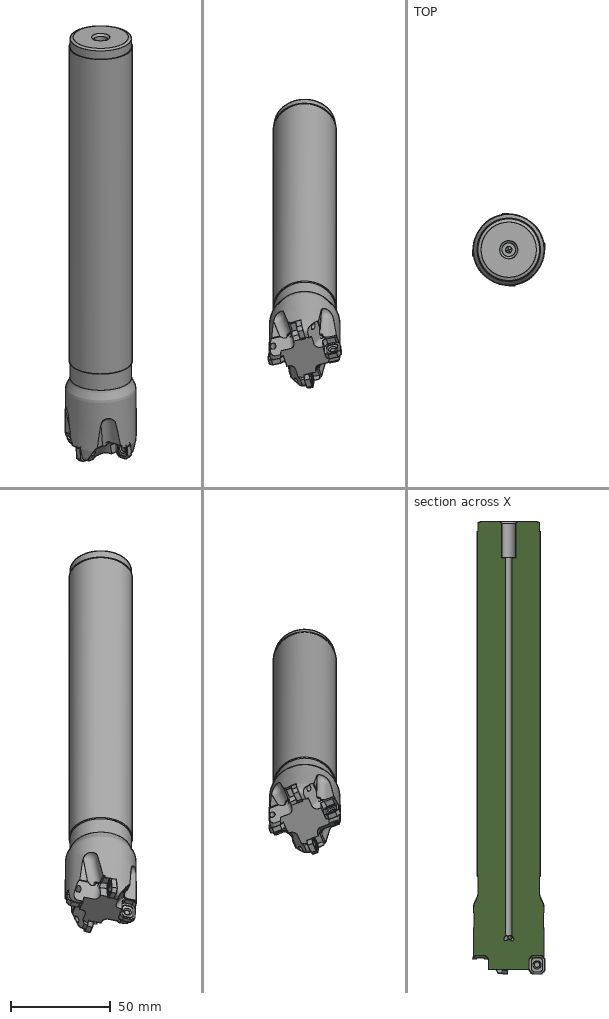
import cadquery as cq
import math

total_length = 227.5
tooth_count = 4
tip_radius = 18.2

shank_radius = 16.0
shank_bottom_z = 49.3
end_land_radius = 15.5
end_land_bottom_z = 222.2
top_chamfer_width = 1.5
top_chamfer_height = 0.7

neck_radius = 15.5
neck_step = shank_radius - neck_radius
neck_bottom_z = 40.0
shoulder_radius = 16.0
shoulder_z = 38.7
collar_radius = 17.5
collar_top_z = 35.2
head_radius = 17.7
head_top_z = 33.9
tooth_radius = 18.0
relief_top_z = 7.3
relief_radius = 17.5
relief_bottom_z = 3.9
tooth_bottom_radius = 14.5
tooth_bottom_z = 0.5

bore_mouth_radius = 4.5
bore_radius = 3.5
bore_depth = 18.2
coolant_radius = 1.5
coolant_bottom_z = 18.2
outlet_radius = 1.1
outlet_exit = (-5.5, -10.0, 9.0)
face_recess_radius = 12.3
face_recess_top_z = 2.3

gullet_radius = 3.6
gullet_end = (-10.2, -14.8, 21.5)
gullet_lean = (0.2, 0.1, -1.0)
gullet_length = 27.3
gullet_floor_depth = 2.7
gullet_reach = 20.5
mouth_top_z = 9.0
mouth_top_y = -10.5
mouth_bottom_y = -5.0
mouth_wall_x = -3.2
mouth_fillet = 2.7

insert_width = 8.0
insert_height = 9.3
insert_thickness = 2.7
insert_corner = 1.8
insert_lean = 5.0
insert_face_x = 0.7
screw_radius = 1.4
countersink_radius = 2.0
chip_breaker_land = 1.1
chip_breaker_depth = 0.5
seat_opening = 4.0
screw_hole_length = 11.4


def around_axis(shape, index):
    """Turn a shape at -Y to one of the evenly spaced tooth positions."""
    return shape.rotate((0, 0, 0), (0, 0, 1), index * 360.0 / tooth_count)


def rod(radius, start, end):
    """A round rod between two points."""
    axis = cq.Vector(*end) - cq.Vector(*start)
    return cq.Workplane(cq.Solid.makeCylinder(radius, axis.Length, cq.Vector(*start), axis))


def turned_blank():
    """Solid of revolution of the shank, neck and head, standing on the tooth ends."""
    arc_blend = math.sqrt(0.5)
    arc_mid = (
        tooth_bottom_radius + (relief_radius - tooth_bottom_radius) * arc_blend,
        relief_bottom_z - (relief_bottom_z - tooth_bottom_z) * arc_blend,
    )
    return (
        cq.Workplane("XZ")
        .moveTo(0, tooth_bottom_z)
        .lineTo(tooth_bottom_radius, tooth_bottom_z)
        .threePointArc(arc_mid, (relief_radius, relief_bottom_z))
        .lineTo(tooth_radius, relief_top_z)
        .lineTo(head_radius, head_top_z)
        .lineTo(collar_radius, collar_top_z)
        .lineTo(shoulder_radius, shoulder_z)
        .lineTo(neck_radius, neck_bottom_z)
        .lineTo(neck_radius, shank_bottom_z - neck_step)
        .lineTo(shank_radius, shank_bottom_z)
        .lineTo(shank_radius, end_land_bottom_z)
        .lineTo(end_land_radius, end_land_bottom_z)
        .lineTo(end_land_radius, total_length - top_chamfer_height)
        .lineTo(end_land_radius - top_chamfer_width, total_length)
        .lineTo(0, total_length)
        .close()
        .revolve(360, (0, 0, 0), (0, 1, 0))
    )


def bores():
    """Chamfered end hole, coolant channel along the axis and the shallow end-face recess."""
    mouth_chamfer = bore_mouth_radius - bore_radius
    bore_bottom_z = total_length - bore_depth
    channel = (
        cq.Workplane("XZ")
        .moveTo(0, coolant_bottom_z)
        .lineTo(coolant_radius, coolant_bottom_z)
        .lineTo(coolant_radius, bore_bottom_z)
        .lineTo(bore_radius, bore_bottom_z)
        .lineTo(bore_radius, total_length - mouth_chamfer)
        .lineTo(bore_mouth_radius, total_length)
        .lineTo(0, total_length)
        .close()
        .revolve(360, (0, 0, 0), (0, 1, 0))
    )
    face_recess = cq.Workplane("XY").circle(face_recess_radius).extrude(face_recess_top_z)
    return channel.union(face_recess)


def gullet():
    """Leaning chip gullet: a round groove with a flat floor on one side, ended by a ball."""
    plane = cq.Plane(origin=gullet_end, xDir=(1, 0, -gullet_lean[0] / gullet_lean[2]), normal=gullet_lean)
    floor_start = math.sqrt(gullet_radius**2 - gullet_floor_depth**2)
    channel = (
        cq.Workplane(plane)
        .moveTo(-gullet_reach, -gullet_floor_depth)
        .lineTo(-floor_start, -gullet_floor_depth)
        .threePointArc((0, -gullet_radius), (gullet_radius, 0))
        .lineTo(gullet_radius, gullet_reach)
        .lineTo(-gullet_reach, gullet_reach)
        .close()
        .extrude(gullet_length)
    )
    ball = cq.Workplane(plane).sphere(gullet_radius)
    outward = cq.Solid.makeCylinder(gullet_radius, gullet_reach, plane.origin, plane.yDir)
    return channel.union(ball).union(cq.Workplane(outward))


def gullet_mouth():
    """Sloped relief that deepens the lower end of a gullet, blended into its wall."""
    slope = cq.Vector(0, mouth_bottom_y - mouth_top_y, -mouth_top_z)
    return (
        cq.Workplane("YZ", origin=(mouth_wall_x, 0, 0))
        .moveTo(mouth_top_y, mouth_top_z)
        .lineTo(mouth_bottom_y, 0)
        .lineTo(-gullet_reach, 0)
        .lineTo(-gullet_reach, mouth_top_z)
        .close()
        .extrude(-gullet_reach)
        .faces(">X")
        .edges(cq.selectors.ParallelDirSelector(slope))
        .fillet(mouth_fillet)
    )


def insert_plane():
    """Plane of an insert's leading face, centred on the insert, pointing backwards."""
    lean = math.radians(insert_lean)
    half_height = insert_height / 2
    centre = (
        insert_face_x - half_height * math.sin(lean),
        -tip_radius + insert_width / 2,
        half_height * math.cos(lean),
    )
    return cq.Plane(origin=centre, xDir=(0, 1, 0), normal=(math.cos(lean), 0, math.sin(lean)))


def insert_plate(front_offset=0.0):
    """Cut-cornered plate; front_offset extends it ahead of the leading face."""
    return (
        cq.Workplane(insert_plane())
        .workplane(offset=-front_offset)
        .rect(insert_width, insert_height)
        .extrude(insert_thickness + front_offset)
        .edges(cq.selectors.ParallelDirSelector(insert_plane().zDir))
        .chamfer(insert_corner)
    )


def cutting_insert():
    """Insert with a recessed leading face and a blind countersink at its centre."""
    face = insert_plane()
    countersink_top_radius = countersink_radius + chip_breaker_depth
    countersink_depth = countersink_top_radius - screw_radius
    countersink = cq.Solid.makeCone(
        countersink_top_radius, screw_radius, countersink_depth, face.origin, face.zDir
    )
    inner_corner = insert_corner - chip_breaker_land * (2 - math.sqrt(2))
    chip_breaker = (
        cq.Workplane(face)
        .rect(insert_width - 2 * chip_breaker_land, insert_height - 2 * chip_breaker_land)
        .extrude(chip_breaker_depth)
        .edges(cq.selectors.ParallelDirSelector(face.zDir))
        .chamfer(inner_corner)
    )
    return insert_plate().cut(chip_breaker).cut(cq.Workplane(countersink))


def cutter_body():
    """Bored blank with a gullet, insert seat, screw hole and coolant outlet at every tooth."""
    screw_hole = cq.Workplane(insert_plane()).circle(screw_radius).extrude(screw_hole_length)
    coolant_outlet = rod(outlet_radius, (0, 0, coolant_bottom_z + outlet_radius), outlet_exit)
    tooth_cuts = [gullet(), gullet_mouth(), insert_plate(seat_opening), screw_hole, coolant_outlet]
    body = turned_blank().cut(bores())
    for index in range(tooth_count):
        for tooth_cut in tooth_cuts:
            body = body.cut(around_axis(tooth_cut, index))
    return body


body = cutter_body()
inserts = [around_axis(cutting_insert(), index) for index in range(tooth_count)]
result = cq.Compound.makeCompound([body.val(), *[insert.val() for insert in inserts]])